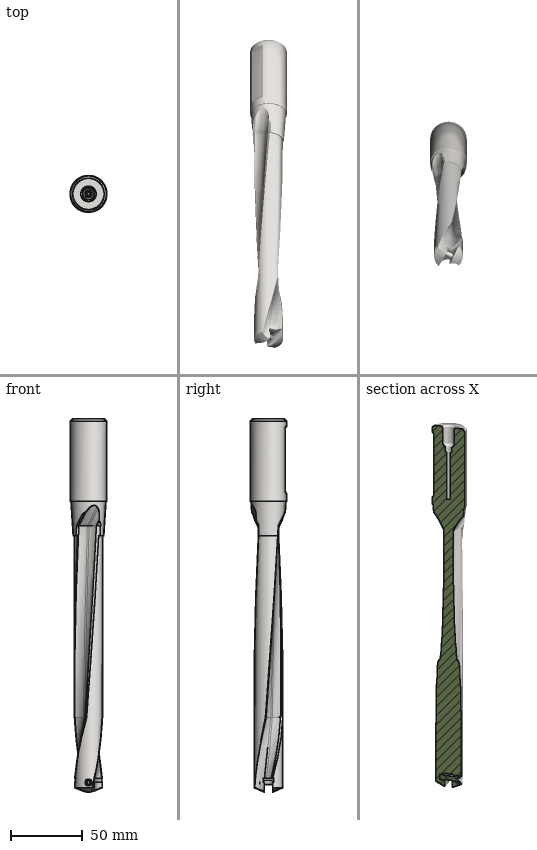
import cadquery as cq
import math

TOTAL_LENGTH = 260.3
COLLAR_TOP_Z = 202.8
COLLAR_BOTTOM_Z = 178.5
FLUTE_TOP_Z = 185.5
STEEP_FLUTE_Z = 52.0
CORNER_Z = 3.0

SHANK_RADIUS = 12.8
SHANK_CHAMFER = 1.8
COLLAR_TOP_RADIUS = 12.2
COLLAR_BOTTOM_RADIUS = 10.7
DRILL_DIAMETER = 20.0
DRILL_RADIUS = DRILL_DIAMETER / 2

FLAT_Y = 11.7
FLAT_BOTTOM_Z = 209.0
FLAT_TOP_Z = 254.0

PORT_MOUTH_DIAMETER = 10.7
PORT_MOUTH_RADIUS = PORT_MOUTH_DIAMETER / 2
PORT_RADIUS = 4.2
PORT_DEPTH = 13.0
PILOT_RADIUS = 2.3
PILOT_DEPTH = 18.2
COOLANT_RADIUS = 1.3
COOLANT_DEPTH = 52.0

LEDGE_U = 6.8
LEDGE_HALF_WIDTH = 8.3
FLOOR_U = 4.0
FLOOR_LEFT_V = -1.0
FLOOR_RIGHT_V = 0.3
LEFT_CORNER_V = -6.8
RIGHT_CORNER_V = 5.5
FLUTE_OUTER_U = 15.5

FLUTE_ANGLE = 215.0
SHAFT_TWIST = 0.4148
TIP_TWIST = 1.383
TIP_RISE = 1.0
TIP_SECTIONS = 6

RUNOUT_HEIGHT = 20.8
RUNOUT_OUTWARD = 10.5
RUNOUT_SIDEWAYS = 10.5

SLOT_HALF_WIDTH = 2.9
SLOT_HEAD_WIDTH = 7.0
SLOT_HEAD_HALF_WIDTH = SLOT_HEAD_WIDTH / 2
SLOT_STEP_Z = 6.8
SLOT_HEAD_HEIGHT = 2.9
SLOT_TOP_Z = SLOT_STEP_Z + SLOT_HEAD_HEIGHT

SCREW_Z = SLOT_STEP_Z
SCREW_RADIUS = 1.7
SCREW_END_Y = 6.8
HEAD_RADIUS = 2.3
HEAD_FACE_Y = -9.0
HEAD_LENGTH = 3.0
SOCKET_WIDTH = 2.5
SOCKET_DEPTH = 1.5


def turned_blank():
    """Shank, tapered collar, drill shaft and conical tip, with the cone reaching z = 0 at the slot."""
    cone_slope = CORNER_Z / (DRILL_RADIUS - SLOT_HALF_WIDTH)
    apex_z = -cone_slope * SLOT_HALF_WIDTH
    return (
        cq.Workplane("XZ")
        .moveTo(0, apex_z)
        .lineTo(DRILL_RADIUS, CORNER_Z)
        .lineTo(DRILL_RADIUS, COLLAR_BOTTOM_Z)
        .lineTo(COLLAR_BOTTOM_RADIUS, COLLAR_BOTTOM_Z)
        .lineTo(COLLAR_TOP_RADIUS, COLLAR_TOP_Z)
        .lineTo(SHANK_RADIUS, COLLAR_TOP_Z)
        .lineTo(SHANK_RADIUS, TOTAL_LENGTH - SHANK_CHAMFER)
        .lineTo(SHANK_RADIUS - SHANK_CHAMFER, TOTAL_LENGTH)
        .lineTo(0, TOTAL_LENGTH)
        .close()
        .revolve(360, (0, 0, 0), (0, 1, 0))
    )


def clamping_flat():
    """Cutter for the flat, with its two ends sloping outward at 45 degrees."""
    reach = SHANK_RADIUS - FLAT_Y
    return (
        cq.Workplane("YZ")
        .moveTo(FLAT_Y, FLAT_BOTTOM_Z)
        .lineTo(FLAT_Y + reach, FLAT_BOTTOM_Z - reach)
        .lineTo(FLAT_Y + reach, FLAT_TOP_Z + reach)
        .lineTo(FLAT_Y, FLAT_TOP_Z)
        .close()
        .extrude(SHANK_RADIUS, both=True)
    )


def coolant_port():
    """Countersunk port that narrows through a 45-degree cone into a pilot bore and the coolant hole."""
    countersink = PORT_MOUTH_RADIUS - PORT_RADIUS
    port_bottom = TOTAL_LENGTH - PORT_DEPTH
    cone_bottom = port_bottom - (PORT_RADIUS - PILOT_RADIUS)
    pilot_bottom = TOTAL_LENGTH - PILOT_DEPTH
    hole_bottom = TOTAL_LENGTH - COOLANT_DEPTH
    return (
        cq.Workplane("XZ")
        .moveTo(0, TOTAL_LENGTH)
        .lineTo(PORT_MOUTH_RADIUS, TOTAL_LENGTH)
        .lineTo(PORT_RADIUS, TOTAL_LENGTH - countersink)
        .lineTo(PORT_RADIUS, port_bottom)
        .lineTo(PILOT_RADIUS, cone_bottom)
        .lineTo(PILOT_RADIUS, pilot_bottom)
        .lineTo(COOLANT_RADIUS, pilot_bottom)
        .lineTo(COOLANT_RADIUS, hole_bottom)
        .lineTo(0, hole_bottom)
        .close()
        .revolve(360, (0, 0, 0), (0, 1, 0))
    )


def floor_arc_middle(floor_v, corner_v, rise):
    """Middle point of the arc that leaves the floor tangentially and ends at the ledge corner."""
    height = LEDGE_U - FLOOR_U
    width = corner_v - floor_v
    radius = (width**2 + height**2) / (2 * height)
    half_angle = math.atan2(abs(width), radius - height) / 2
    middle_u = FLOOR_U + rise + radius * (1 - math.cos(half_angle))
    middle_v = floor_v + math.copysign(radius * math.sin(half_angle), width)
    return (middle_u, middle_v)


def flute_section(z, angle, rise=0.0):
    """Flute outline at height z: a round-sided groove between two ledges, facing angle, raised by rise."""
    ledge_u = LEDGE_U + rise
    floor_u = FLOOR_U + rise
    return (
        cq.Workplane("XY", origin=(0, 0, z))
        .transformed(rotate=(0, 0, angle))
        .moveTo(FLUTE_OUTER_U, -LEDGE_HALF_WIDTH)
        .lineTo(ledge_u, -LEDGE_HALF_WIDTH)
        .lineTo(ledge_u, LEFT_CORNER_V)
        .threePointArc(floor_arc_middle(FLOOR_LEFT_V, LEFT_CORNER_V, rise), (floor_u, FLOOR_LEFT_V))
        .lineTo(floor_u, FLOOR_RIGHT_V)
        .threePointArc(floor_arc_middle(FLOOR_RIGHT_V, RIGHT_CORNER_V, rise), (ledge_u, RIGHT_CORNER_V))
        .lineTo(ledge_u, LEDGE_HALF_WIDTH)
        .lineTo(FLUTE_OUTER_U, LEDGE_HALF_WIDTH)
        .close()
    )


def shaft_flute():
    """Long slow-twisting part of the flute."""
    length = FLUTE_TOP_Z - STEEP_FLUTE_Z
    return flute_section(STEEP_FLUTE_Z, FLUTE_ANGLE).twistExtrude(length, SHAFT_TWIST * length)


def tip_flute():
    """Fast-twisting part of the flute, growing shallower from the shaft to the tip."""
    wires = []
    for i in range(TIP_SECTIONS + 1):
        fraction = i / TIP_SECTIONS
        drop = STEEP_FLUTE_Z * fraction
        section = flute_section(STEEP_FLUTE_Z - drop, FLUTE_ANGLE - TIP_TWIST * drop, TIP_RISE * fraction)
        wires.append(section.wires().val())
    return cq.Workplane(cq.Solid.makeLoft(wires))


def flute_runout():
    """Upper end of the flute, leaving outward and sideways through the collar up to a straight side wall."""
    top_angle = FLUTE_ANGLE + SHAFT_TWIST * (FLUTE_TOP_Z - STEEP_FLUTE_Z)
    section = flute_section(FLUTE_TOP_Z, 0).wires().val()
    travel = cq.Vector(RUNOUT_OUTWARD, RUNOUT_SIDEWAYS, RUNOUT_HEIGHT)
    sweep = cq.Workplane(cq.Solid.extrudeLinear(section, [], travel))
    side_limit = (
        cq.Workplane("XY", origin=(0, 0, FLUTE_TOP_Z))
        .rect(2 * (FLUTE_OUTER_U + RUNOUT_OUTWARD), 2 * LEDGE_HALF_WIDTH)
        .extrude(RUNOUT_HEIGHT)
    )
    return sweep.intersect(side_limit).rotate((0, 0, 0), (0, 0, 1), top_angle)


def insert_slot():
    """T-shaped slot along X, wider above its step."""
    return (
        cq.Workplane("YZ")
        .moveTo(-SLOT_HALF_WIDTH, -SLOT_HALF_WIDTH)
        .lineTo(-SLOT_HALF_WIDTH, SLOT_STEP_Z)
        .lineTo(-SLOT_HEAD_HALF_WIDTH, SLOT_STEP_Z)
        .lineTo(-SLOT_HEAD_HALF_WIDTH, SLOT_TOP_Z)
        .lineTo(SLOT_HEAD_HALF_WIDTH, SLOT_TOP_Z)
        .lineTo(SLOT_HEAD_HALF_WIDTH, SLOT_STEP_Z)
        .lineTo(SLOT_HALF_WIDTH, SLOT_STEP_Z)
        .lineTo(SLOT_HALF_WIDTH, -SLOT_HALF_WIDTH)
        .close()
        .extrude(DRILL_RADIUS, both=True)
    )


def rod_along_y(radius, start_y, end_y):
    """Cylinder on the screw axis, running in +Y from start_y to end_y."""
    return (
        cq.Workplane("XZ", origin=(0, start_y, SCREW_Z))
        .circle(radius)
        .extrude(start_y - end_y)
    )


def screw_hole():
    """Blind hole for the screw, with a counterbore open to the -Y side."""
    shank_hole = rod_along_y(SCREW_RADIUS, HEAD_FACE_Y, SCREW_END_Y)
    counterbore = rod_along_y(HEAD_RADIUS, -DRILL_RADIUS, HEAD_FACE_Y + HEAD_LENGTH)
    return shank_hole.union(counterbore)


def make_screw():
    head = rod_along_y(HEAD_RADIUS, HEAD_FACE_Y, HEAD_FACE_Y + HEAD_LENGTH)
    shank = rod_along_y(SCREW_RADIUS, HEAD_FACE_Y, SCREW_END_Y)
    socket = (
        cq.Workplane("XZ", origin=(0, HEAD_FACE_Y, SCREW_Z))
        .polygon(6, SOCKET_WIDTH)
        .extrude(-SOCKET_DEPTH)
    )
    return head.union(shank).cut(socket)


def make_drill_body():
    body = turned_blank().cut(clamping_flat()).cut(coolant_port())
    for turn in (0, 180):
        for cutter in (shaft_flute(), tip_flute(), flute_runout()):
            body = body.cut(cutter.rotate((0, 0, 0), (0, 0, 1), turn))
    return body.cut(insert_slot()).cut(screw_hole())


drill_body = make_drill_body()
screw = make_screw()

result = cq.Compound.makeCompound([drill_body.solids().val(), screw.solids().val()])